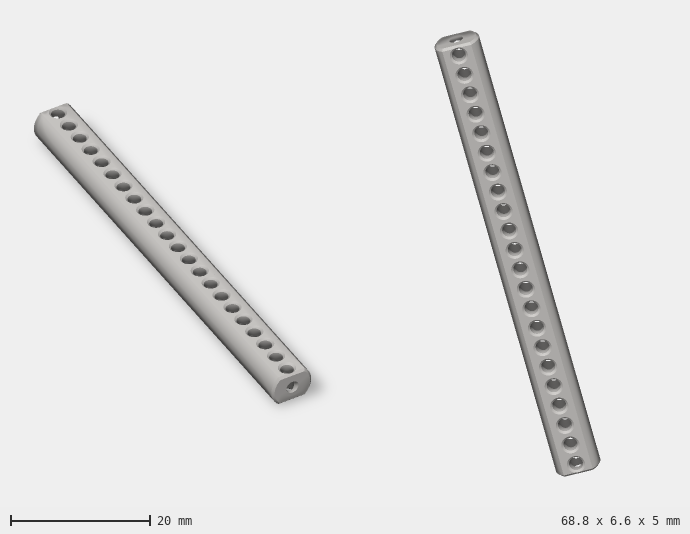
import cadquery as cq

length = 68.75
bar_diameter = 6.6
flat_to_flat = 5.0
end_chamfer = 0.35

bore_diameter = 2.0

hole_count = 22
hole_pitch = length / hole_count
hole_diameter = 2.0
countersink_diameter = 2.6
countersink_depth = (countersink_diameter - hole_diameter) / 2


def flatted_bar():
    """Round bar centred on the origin, cut to flats at top and bottom, with chamfered ends."""
    round_bar = cq.Workplane("YZ").circle(bar_diameter / 2).extrude(length / 2, both=True)
    flat_limits = cq.Workplane("XY").box(length, bar_diameter, flat_to_flat)
    return round_bar.intersect(flat_limits).faces("<X or >X").chamfer(end_chamfer)


def cross_hole(x):
    """Vertical through hole at x, with a 45 degree countersink in each flat."""
    flat_height = flat_to_flat / 2
    cone_foot = flat_height - countersink_depth
    half_profile = (
        cq.Workplane("XZ")
        .moveTo(0, -flat_height)
        .lineTo(countersink_diameter / 2, -flat_height)
        .lineTo(hole_diameter / 2, -cone_foot)
        .lineTo(hole_diameter / 2, cone_foot)
        .lineTo(countersink_diameter / 2, flat_height)
        .lineTo(0, flat_height)
        .close()
    )
    return half_profile.revolve(360, (0, 0, 0), (0, 1, 0)).translate((x, 0, 0))


bore = cq.Workplane("YZ").circle(bore_diameter / 2).extrude(length / 2, both=True)

result = flatted_bar().cut(bore)
for index in range(hole_count):
    hole_x = (index + 0.5) * hole_pitch - length / 2
    result = result.cut(cross_hole(hole_x))